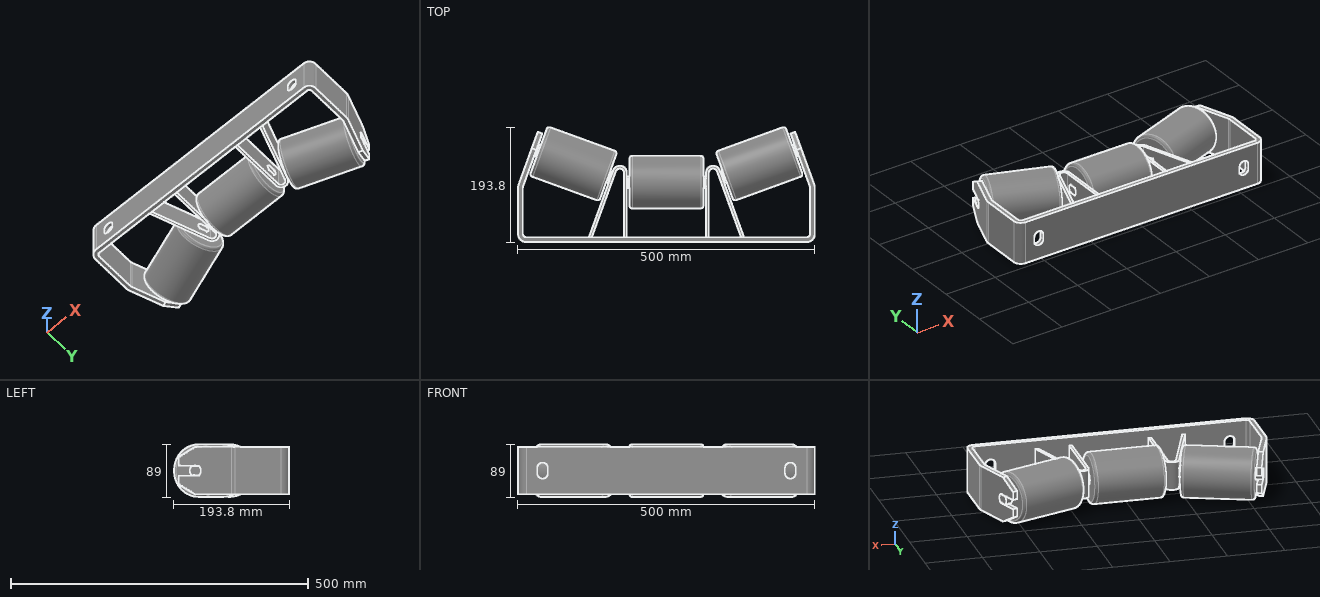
import cadquery as cq
import math

roller_diameter = 89.0
roller_length = 125.0
roller_edge_radius = 5.0
axle_diameter = 20.0
axle_flat_width = 15.0
support_gap = 4.0
shoulder_length = 3.0

tilt = 20
middle_roller_y = 101.0
side_roller_x = 156.5
side_roller_y = 132.0

frame_length = 500
frame_depth = 80.0
frame_plate = 8.5
corner_outer_radius = 14.0
corner_inner_radius = corner_outer_radius - frame_plate
arm_bend_outer_radius = 18.0
arm_bend_inner_radius = arm_bend_outer_radius - frame_plate
arm_tip = 30.0
arm_chamfer_length = 29.5
arm_chamfer_depth = 17.0
arm_slot_width = 16.5
mount_slot_width = 18.0
mount_slot_height = 27.0
mount_slot_x = 208.5

bracket_plate = 5.0
bracket_depth = 50.0
bracket_inner_radius = 7.0

support_reach = roller_length / 2 + support_gap
tilt_cos = math.cos(math.radians(tilt))
tilt_sin = math.sin(math.radians(tilt))
half_depth = frame_depth / 2


def side_point(outward, across):
    """XY point at a distance outward along the left roller's axis and across it, towards +Y."""
    return (
        -side_roller_x - outward * tilt_cos + across * tilt_sin,
        side_roller_y + outward * tilt_sin + across * tilt_cos,
    )


def side_point_at_x(outward, x):
    """XY point at the given x on the line square to the left roller's axis."""
    across = (x + side_roller_x + outward * tilt_cos) / tilt_sin
    return side_point(outward, across)


def side_point_at_y(outward, y):
    """XY point at the given y on the line square to the left roller's axis."""
    across = (y - side_roller_y - outward * tilt_sin) / tilt_cos
    return side_point(outward, across)


def at_left_station(body):
    """Moves a body built on the X axis at the origin to the left roller's place."""
    return body.rotate((0, 0, 0), (0, 0, 1), -tilt).translate((-side_roller_x, side_roller_y, 0))


def mirrored(body):
    return body.mirror("YZ")


def x_cylinder(diameter, start_x, end_x):
    return cq.Workplane("YZ", origin=(start_x, 0, 0)).circle(diameter / 2).extrude(end_x - start_x)


def x_block(start_x, end_x, start_y, end_y, height):
    return cq.Workplane("XY").box(
        end_x - start_x, end_y - start_y, height, centered=(False, False, True)
    ).translate((start_x, start_y, 0))


def flatted_bar(start_x, end_x):
    """Round bar along X with a flat above and below."""
    radius = axle_diameter / 2
    flats = x_block(start_x, end_x, -radius, radius, axle_flat_width)
    return x_cylinder(axle_diameter, start_x, end_x).intersect(flats)


def make_roller(left_plate, right_plate):
    """Roller along X, its axle ending flush with the far faces of the plates that carry it."""
    barrel = x_cylinder(roller_diameter, -roller_length / 2, roller_length / 2)
    barrel = barrel.edges().fillet(roller_edge_radius)
    shoulder_reach = roller_length / 2 + shoulder_length
    shoulders = x_cylinder(axle_diameter, -shoulder_reach, shoulder_reach)
    ends = flatted_bar(-support_reach - left_plate, support_reach + right_plate)
    return barrel.union(shoulders).union(ends)


def cut_arm_tip(frame):
    """Chamfers the left arm's tip and cuts the open slot for the axle."""
    slot_start = -support_reach - 2 * frame_plate
    slot_end = -support_reach + frame_plate
    slot = x_block(slot_start, slot_end, 0, 2 * arm_tip, arm_slot_width)
    seat = x_cylinder(axle_diameter, slot_start, slot_end)
    seat = seat.intersect(x_block(slot_start, slot_end, -axle_diameter, axle_diameter, arm_slot_width))
    corner = (
        cq.Workplane("YZ", origin=(slot_start, 0, 0))
        .moveTo(arm_tip, half_depth)
        .lineTo(arm_tip - arm_chamfer_length, half_depth)
        .lineTo(arm_tip, half_depth - arm_chamfer_depth)
        .close()
        .extrude(slot_end - slot_start)
    )
    for cutter in (slot, seat, corner, corner.mirror("XY")):
        frame = frame.cut(at_left_station(cutter))
    return frame


def make_left_frame():
    """Left half of the frame, ending on the middle plane."""
    outer_x = -frame_length / 2
    inner_x = outer_x + frame_plate
    arm_outer = support_reach + frame_plate
    arm_bend_outer = side_point_at_x(arm_outer, outer_x)
    arm_bend_inner = side_point_at_x(support_reach, inner_x)
    half = (
        cq.Workplane("XY", origin=(0, 0, -half_depth))
        .moveTo(0, 0)
        .lineTo(outer_x, 0)
        .lineTo(*arm_bend_outer)
        .lineTo(*side_point(arm_outer, arm_tip))
        .lineTo(*side_point(support_reach, arm_tip))
        .lineTo(*arm_bend_inner)
        .lineTo(inner_x, frame_plate)
        .lineTo(0, frame_plate)
        .close()
        .extrude(frame_depth)
    )
    bends = (
        ((outer_x, 0), corner_outer_radius),
        (arm_bend_outer, arm_bend_outer_radius),
        ((inner_x, frame_plate), corner_inner_radius),
        (arm_bend_inner, arm_bend_inner_radius),
    )
    for (x, y), radius in bends:
        half = half.edges(cq.NearestToPointSelector((x, y, 0))).fillet(radius)
    mount_slot = (
        cq.Workplane("XZ", origin=(-mount_slot_x, 0, 0))
        .slot2D(mount_slot_height, mount_slot_width, 90)
        .extrude(-frame_plate)
    )
    return cut_arm_tip(half).cut(mount_slot)


def make_frame():
    left = make_left_frame()
    return left.union(mirrored(left)).clean()


def make_left_bracket():
    """Hairpin with one leg square to the middle roller's axis and one to the left roller's."""
    outer_reach = support_reach
    inner_reach = support_reach + bracket_plate
    inner_radius = bracket_inner_radius
    outer_radius = inner_radius + bracket_plate

    bend_reach = support_reach + outer_radius
    bend_x, bend_y = side_point_at_x(-bend_reach, -bend_reach)

    def bend_point(radius, angle):
        turn = math.radians(angle)
        return (bend_x + radius * math.cos(turn), bend_y + radius * math.sin(turn))

    bend_sweep = 180 - tilt
    bracket = (
        cq.Workplane("XY", origin=(0, 0, -bracket_depth / 2))
        .moveTo(-outer_reach, frame_plate)
        .lineTo(*bend_point(outer_radius, 0))
        .threePointArc(bend_point(outer_radius, bend_sweep / 2), bend_point(outer_radius, bend_sweep))
        .lineTo(*side_point_at_y(-outer_reach, frame_plate))
        .lineTo(*side_point_at_y(-inner_reach, frame_plate))
        .lineTo(*bend_point(inner_radius, bend_sweep))
        .threePointArc(bend_point(inner_radius, bend_sweep / 2), bend_point(inner_radius, 0))
        .lineTo(-inner_reach, frame_plate)
        .close()
        .extrude(bracket_depth)
    )
    middle_axle_hole = flatted_bar(-inner_reach, -outer_reach).translate((0, middle_roller_y, 0))
    side_axle_hole = at_left_station(flatted_bar(outer_reach, inner_reach))
    return bracket.cut(middle_axle_hole).cut(side_axle_hole)


frame = make_frame()

left_bracket = make_left_bracket()
brackets = [left_bracket, mirrored(left_bracket)]

middle_roller = make_roller(bracket_plate, bracket_plate).translate((0, middle_roller_y, 0))
left_roller = at_left_station(make_roller(frame_plate, bracket_plate))
rollers = [middle_roller, left_roller, mirrored(left_roller)]

result = cq.Compound.makeCompound([body.val() for body in [frame, *brackets, *rollers]])